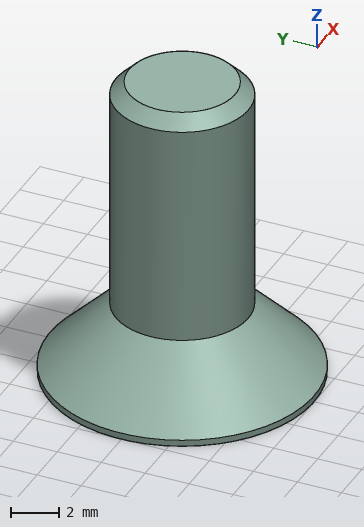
import cadquery as cq

total_length = 14.0
head_diameter = 12.0
shank_diameter = 6.0
rim_height = 0.3
tip_chamfer = 0.6

head_radius = head_diameter / 2
shank_radius = shank_diameter / 2
cone_height = head_radius - shank_radius
head_height = rim_height + cone_height

half_profile = (
    cq.Workplane("XZ")
    .moveTo(0, 0)
    .lineTo(head_radius, 0)
    .lineTo(head_radius, rim_height)
    .lineTo(shank_radius, head_height)
    .lineTo(shank_radius, total_length - tip_chamfer)
    .lineTo(shank_radius - tip_chamfer, total_length)
    .lineTo(0, total_length)
    .close()
)

result = half_profile.revolve(360, (0, 0), (0, 1))